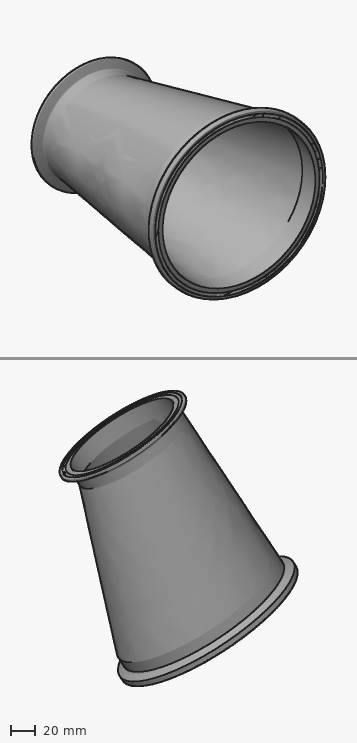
import cadquery as cq
import math

LENGTH = 174.6
CONE_ANGLE = 20.0

SMALL_TUBE_D = 101.6
SMALL_BORE_D = 97.5
SMALL_RIM_D = 119.0
SMALL_RIM_WIDTH = 2.6
SMALL_TUBE_LENGTH = 15.9

LARGE_TUBE_D = 152.5
LARGE_BORE_D = 146.9
LARGE_RIM_D = 167.0
LARGE_RIM_WIDTH = 5.6
LARGE_TUBE_LENGTH = 19.0

RIM_EDGE_RADIUS = 0.5
ROOT_RADIUS = 1.5

GROOVE_INSET = 4.5
GROOVE_WIDTH = 3.1
GROOVE_DEPTH = 1.0
GROOVE_LIP_RADIUS = 0.3

SELECT_MARGIN = 0.2

SMALL_AXIS_Y = -(LARGE_TUBE_D - SMALL_TUBE_D) / 2


def round_circles(body, start_x, end_x, reach, radius):
    """Fillet the circular edges about the X axis from start_x to end_x, out to radius reach."""
    outer = reach + SELECT_MARGIN
    box = cq.selectors.BoxSelector(
        (start_x - SELECT_MARGIN, -outer, -outer),
        (end_x + SELECT_MARGIN, outer, outer),
        boundingbox=True,
    )
    return body.edges("%CIRCLE").edges(box).fillet(radius)


def ferrule(tube_d, rim_d, rim_width, tube_length):
    """Solid ferrule about the X axis, with its end face at X = 0 and its tube toward +X."""
    tube_r = tube_d / 2
    rim_r = rim_d / 2
    slope_end = rim_width + (rim_r - tube_r) * math.tan(math.radians(CONE_ANGLE))
    body = (
        cq.Workplane("XY")
        .moveTo(0, 0)
        .lineTo(0, rim_r)
        .lineTo(rim_width, rim_r)
        .lineTo(slope_end, tube_r)
        .lineTo(tube_length, tube_r)
        .lineTo(tube_length, 0)
        .close()
        .revolve(360, (0, 0, 0), (1, 0, 0))
    )
    body = round_circles(body, slope_end, slope_end, rim_r, ROOT_RADIUS)
    body = round_circles(body, 0, rim_width, rim_r, RIM_EDGE_RADIUS)

    groove_r = rim_r - GROOVE_INSET
    groove = (
        cq.Workplane("XY")
        .moveTo(0, groove_r - GROOVE_WIDTH / 2)
        .threePointArc((GROOVE_DEPTH, groove_r), (0, groove_r + GROOVE_WIDTH / 2))
        .close()
        .revolve(360, (0, 0, 0), (1, 0, 0))
    )
    body = body.cut(groove)

    groove_outer_r = groove_r + GROOVE_WIDTH / 2
    return round_circles(body, 0, 0, groove_outer_r, GROOVE_LIP_RADIUS)


def cone_between(small_d, large_d):
    """Straight-sided loft from the small tube's inner end to the large tube's inner end."""
    small_plane = cq.Plane((SMALL_TUBE_LENGTH, SMALL_AXIS_Y, 0), xDir=(0, 1, 0), normal=(1, 0, 0))
    cone_length = LENGTH - SMALL_TUBE_LENGTH - LARGE_TUBE_LENGTH
    return (
        cq.Workplane(small_plane)
        .circle(small_d / 2)
        .workplane(offset=cone_length)
        .center(-SMALL_AXIS_Y, 0)
        .circle(large_d / 2)
        .loft(ruled=True)
    )


def bore(diameter, start_x, axis_y, length):
    """Cylinder along +X from start_x."""
    return cq.Workplane("YZ", origin=(start_x, axis_y, 0)).circle(diameter / 2).extrude(length)


small_end = ferrule(SMALL_TUBE_D, SMALL_RIM_D, SMALL_RIM_WIDTH, SMALL_TUBE_LENGTH)
small_end = small_end.translate((0, SMALL_AXIS_Y, 0))

large_end = ferrule(LARGE_TUBE_D, LARGE_RIM_D, LARGE_RIM_WIDTH, LARGE_TUBE_LENGTH)
large_end = large_end.mirror("YZ").translate((LENGTH, 0, 0))

outside = small_end.union(cone_between(SMALL_TUBE_D, LARGE_TUBE_D)).union(large_end)

passage = (
    bore(SMALL_BORE_D, 0, SMALL_AXIS_Y, SMALL_TUBE_LENGTH)
    .union(cone_between(SMALL_BORE_D, LARGE_BORE_D))
    .union(bore(LARGE_BORE_D, LENGTH - LARGE_TUBE_LENGTH, 0, LARGE_TUBE_LENGTH))
)

result = outside.cut(passage)